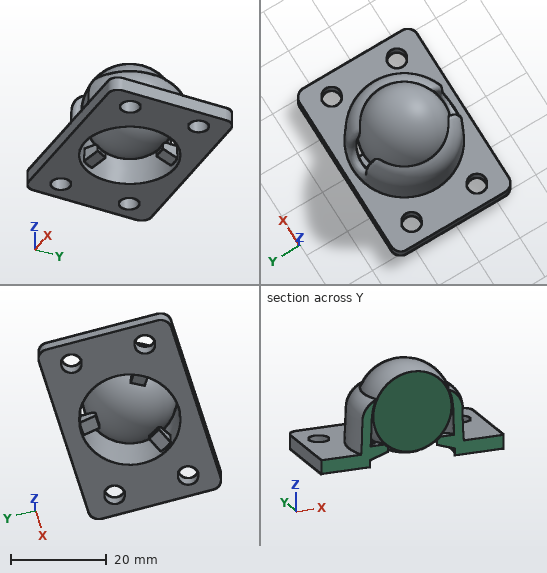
import cadquery as cq
import math

plate_length = 41.3
plate_width = 28.8
plate_thickness = 3.15
plate_corner_radius = 2.3
hole_diameter = 4.3
hole_spacing_x = 32.0
hole_spacing_y = 16.0

overall_height = 21.1
ball_radius = 10.0
ball_center_z = overall_height - ball_radius

bore_diameter = 21.15
bore_radius = bore_diameter / 2
wall_thickness = 2.04
shoulder_z = 10.5
rim_z = 14.9
wall_draft = math.radians(2.0)
rim_radius = math.sqrt(ball_radius**2 - (rim_z - ball_center_z) ** 2)

slot_width = 5.94
slot_center_z = 7.9
slot_edge_fillet = 1.0
edge_tolerance = 0.001

tab_count = 3
tab_width = 3.0
tab_first_angle = 90
tab_top_z = 4.7
tab_tip_radius = 7.0
tab_tip_bottom_z = 2.9
tab_wall_bottom_z = 1.5


def draft_radius(base_radius, z):
    """Radius at height z of a wall that leans inward from base_radius at z = 0."""
    return base_radius - z * math.tan(wall_draft)


def domed_solid(base_radius, bottom_z):
    """Drafted wall up to the shoulder, then a tangent arc to the rim."""
    shoulder_radius = draft_radius(base_radius, shoulder_z)
    return (
        cq.Workplane("XZ")
        .moveTo(0, bottom_z)
        .lineTo(draft_radius(base_radius, bottom_z), bottom_z)
        .lineTo(shoulder_radius, shoulder_z)
        .tangentArcPoint((rim_radius, rim_z), relative=False)
        .lineTo(0, rim_z)
        .close()
        .revolve(360, (0, 0, 0), (0, 1, 0))
    )


def make_plate():
    return (
        cq.Workplane("XY")
        .box(plate_length, plate_width, plate_thickness, centered=(True, True, False))
        .edges("|Z")
        .fillet(plate_corner_radius)
        .faces(">Z")
        .workplane()
        .rect(hole_spacing_x, hole_spacing_y, forConstruction=True)
        .vertices()
        .hole(hole_diameter)
    )


def make_slot():
    """Round-bottomed cutter that runs through both sides of the collar."""
    half = slot_width / 2
    top = overall_height
    return (
        cq.Workplane("XZ")
        .moveTo(-half, top)
        .lineTo(-half, slot_center_z)
        .threePointArc((0, slot_center_z - half), (half, slot_center_z))
        .lineTo(half, top)
        .close()
        .extrude(plate_width / 2, both=True)
    )


def make_ball():
    """Ball turned about a Y axis from a half disc."""
    return (
        cq.Workplane("XY")
        .workplane(offset=ball_center_z)
        .moveTo(0, -ball_radius)
        .threePointArc((ball_radius, 0), (0, ball_radius))
        .close()
        .revolve(360, (0, 0, 0), (0, 1, 0))
    )


def is_slot_edge(edge):
    """True for the edges where a slot breaks through the outer wall."""
    center = edge.Center()
    box = edge.BoundingBox()
    in_slot = abs(center.x) <= slot_width / 2 + edge_tolerance
    one_side = box.ymin * box.ymax > 0
    return in_slot and one_side


def make_collar():
    """Slotted dome, still solid inside, with rounded slot edges."""
    slotted = domed_solid(bore_radius + wall_thickness, plate_thickness).cut(make_slot())
    slot_edges = [edge for edge in slotted.edges().vals() if is_slot_edge(edge)]
    return slotted.newObject(slot_edges).fillet(slot_edge_fillet)


def make_tab(angle):
    """Tab with a flat top and an underside that rises toward its tip."""
    embedded_radius = bore_radius + wall_thickness / 2
    slope = (tab_tip_bottom_z - tab_wall_bottom_z) / (bore_radius - tab_tip_radius)
    embedded_bottom_z = tab_wall_bottom_z - slope * wall_thickness / 2
    return (
        cq.Workplane("XZ")
        .moveTo(tab_tip_radius, tab_tip_bottom_z)
        .lineTo(tab_tip_radius, tab_top_z)
        .lineTo(embedded_radius, tab_top_z)
        .lineTo(embedded_radius, embedded_bottom_z)
        .close()
        .extrude(tab_width / 2, both=True)
        .rotate((0, 0, 0), (0, 0, 1), angle)
    )


ball = make_ball()

bore = domed_solid(bore_radius, 0)
housing = make_plate().union(make_collar()).cut(bore)
for index in range(tab_count):
    housing = housing.union(make_tab(tab_first_angle + index * 360 / tab_count))
housing = housing.cut(ball)

result = cq.Compound.makeCompound([housing.solids().val(), ball.val()])